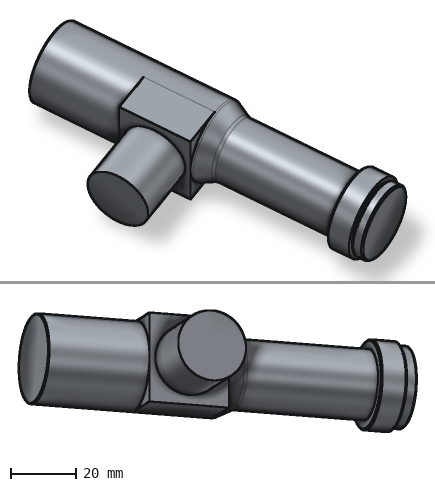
import cadquery as cq

total_length = 120.4
body_diameter = 28.0
neck_diameter = 22.0
body_end_chamfer = 0.4

reducer_start = 59.2
reducer_end = 65.3
reducer_body_round = 1.6
reducer_neck_round = 2.6

collar_start = 108.2
collar_end = 116.2
collar_chamfer = 0.5
groove_diameter = 24.5
lip_start = 117.0
lip_diameter = 25.8
lip_chamfer = 0.5

block_start = 32.9
block_end = 58.8
branch_diameter = 22.0
branch_reach = 49.4 - body_diameter / 2
block_center = (block_start + block_end) / 2


def cylinder_x(start, end, diameter):
    """Cylinder along X between two stations."""
    return cq.Workplane("YZ", origin=(start, 0, 0)).circle(diameter / 2).extrude(end - start)


def make_body():
    """Body, reducer and neck as one turned profile with rounded cone ends."""
    body_radius = body_diameter / 2
    neck_radius = neck_diameter / 2
    body = (
        cq.Workplane("XY")
        .moveTo(0, 0)
        .lineTo(0, body_radius)
        .lineTo(reducer_start, body_radius)
        .lineTo(reducer_end, neck_radius)
        .lineTo(collar_start, neck_radius)
        .lineTo(collar_start, 0)
        .close()
        .revolve(360, (0, 0, 0), (1, 0, 0))
    )
    body = body.faces("<X").edges().chamfer(body_end_chamfer)

    def round_edge(solid, station, radius):
        near_station = cq.selectors.BoxSelector(
            (station - 0.1, -body_diameter, -body_diameter),
            (station + 0.1, body_diameter, body_diameter),
        )
        return solid.edges("%CIRCLE").edges(near_station).fillet(radius)

    body = round_edge(body, reducer_start, reducer_body_round)
    return round_edge(body, reducer_end, reducer_neck_round)


def make_end_fitting():
    """Collar followed by a shallow groove and a chamfered lip."""
    collar = cylinder_x(collar_start, collar_end, body_diameter)
    collar = collar.faces("<X").edges().chamfer(collar_chamfer)
    groove = cylinder_x(collar_end, lip_start, groove_diameter)
    lip = cylinder_x(lip_start, total_length, lip_diameter)
    lip = lip.faces(">X").edges().chamfer(lip_chamfer)
    return collar.union(groove).union(lip)


def make_branch():
    """Half-depth square block carrying the round side branch."""
    block = cq.Workplane("XY").box(
        block_end - block_start, body_diameter / 2, body_diameter, centered=(True, False, True)
    ).translate((block_center, -body_diameter / 2, 0))
    branch = (
        cq.Workplane("XZ", origin=(block_center, 0, 0))
        .circle(branch_diameter / 2)
        .extrude(branch_reach)
    )
    return block.union(branch)


result = make_body().union(make_end_fitting()).union(make_branch())